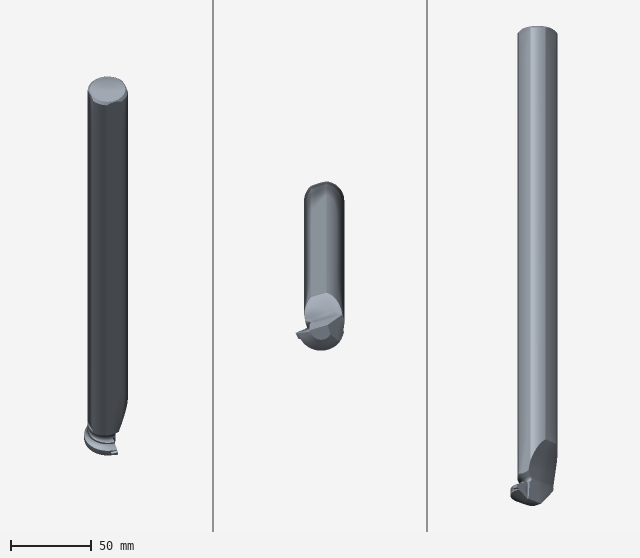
import cadquery as cq
import math

total_length = 311.5
shank_radius = 12.5
flat_depth = 1.03
flat_distance = shank_radius - flat_depth
flat_end_z = 16.8
end_chamfer = 1.5
flat_cut_size = 3 * shank_radius

head_center_x = 2.2
head_center_y = -0.75
head_radius = 14.5
head_bottom_radius = 6.5
head_rim_bottom_z = 4.5
head_rim_top_z = 8.5
head_top_radius = 7.2
head_top_z = 10.5

neck_radius = 10.5
neck_center_x = -2.2
neck_center_y = -1.5
groove_radius = 4.5 / 2
groove_center_z = 13.0
groove_depth = 12.5

deck_y = 1.0
clearance_end_y = 2.2
clearance_end_z = 14.0
clearance_mid_y = 6.2
clearance_mid_z = 27.5
clearance_start_z = 37.7

bevel_bottom_x = -2.5
bevel_top_z = 11.0

insert_tip_x = 18.5
insert_tip_low_z = 5.3
insert_tip_high_z = 7.5
insert_back_x = 9.0
insert_back_low_z = 2.0
insert_back_high_z = 10.0
insert_thickness = 4.0
insert_relief_angle = 10.0


def make_shank():
    """Chamfered bar that starts inside the head."""
    shank = (
        cq.Workplane("XY", origin=(0, 0, head_rim_top_z))
        .circle(shank_radius)
        .extrude(total_length - head_rim_top_z)
        .faces(">Z")
        .chamfer(end_chamfer)
    )
    for angle in (0, 90, -90):
        flat_cut = (
            cq.Workplane("XY")
            .box(flat_cut_size, flat_cut_size, total_length, centered=(False, True, False))
            .translate((flat_distance, 0, flat_end_z))
            .rotate((0, 0, 0), (0, 0, 1), angle)
        )
        shank = shank.cut(flat_cut)
    return shank


def make_groove():
    """Ring with a round floor and a 45 degree upper wall."""
    diagonal = groove_radius * math.sqrt(0.5)
    floor_center = neck_radius + groove_radius
    wall_start = (floor_center - diagonal, groove_center_z + diagonal)
    outer_radius = neck_radius + groove_depth
    wall_top_z = wall_start[1] + outer_radius - wall_start[0]
    return (
        cq.Workplane("XZ")
        .moveTo(*wall_start)
        .threePointArc(
            (neck_radius, groove_center_z),
            (floor_center, groove_center_z - groove_radius),
        )
        .lineTo(outer_radius, groove_center_z - groove_radius)
        .lineTo(outer_radius, wall_top_z)
        .close()
        .revolve(360, (0, 0, 0), (0, 1, 0))
        .translate((neck_center_x, neck_center_y, 0))
    )


def make_head():
    """Disc with a conical underside and a shallow conical top."""
    return (
        cq.Workplane("XZ")
        .polyline([
            (0, 0),
            (head_bottom_radius, 0),
            (head_radius, head_rim_bottom_z),
            (head_radius, head_rim_top_z),
            (head_top_radius, head_top_z),
            (0, head_top_z),
        ])
        .close()
        .revolve(360, (0, 0, 0), (0, 1, 0))
        .translate((head_center_x, head_center_y, 0))
    )


def make_chip_clearance():
    """Curved run-out from the +Y flat down to the steep flat deck of the head."""
    return (
        cq.Workplane("YZ")
        .moveTo(deck_y, 0)
        .lineTo(clearance_end_y, clearance_end_z)
        .threePointArc((clearance_mid_y, clearance_mid_z), (flat_distance, clearance_start_z))
        .lineTo(flat_cut_size, clearance_start_z)
        .lineTo(flat_cut_size, 0)
        .close()
        .extrude(flat_cut_size, both=True)
    )


def make_bevel():
    """Wedge below the sloping face on the -X side."""
    return (
        cq.Workplane("XZ")
        .polyline([
            (bevel_bottom_x, 0),
            (-shank_radius, bevel_top_z),
            (-flat_cut_size, bevel_top_z),
            (-flat_cut_size, 0),
        ])
        .close()
        .extrude(flat_cut_size, both=True)
    )


def make_insert():
    """Pointed plate that narrows away from its cutting face."""
    return (
        cq.Workplane("XZ")
        .polyline([
            (insert_back_x, insert_back_low_z),
            (insert_tip_x, insert_tip_low_z),
            (insert_tip_x, insert_tip_high_z),
            (insert_back_x, insert_back_high_z),
        ])
        .close()
        .extrude(insert_thickness, taper=insert_relief_angle)
    )


def make_rake_clearance():
    """Open space in front of the cutting face."""
    return (
        cq.Workplane("XY")
        .box(flat_cut_size, flat_cut_size, groove_center_z, centered=False)
        .translate((insert_back_x, 0, 0))
    )


insert = make_insert()
holder = (
    make_shank()
    .cut(make_groove())
    .union(make_head())
    .cut(make_chip_clearance())
    .cut(make_bevel())
    .cut(make_rake_clearance())
    .cut(insert)
)

result = cq.Compound.makeCompound([holder.val(), insert.val()])